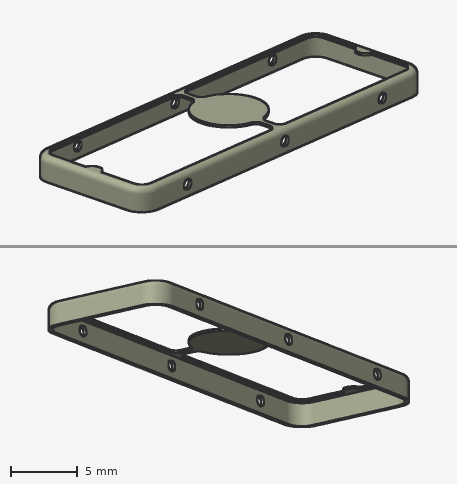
import cadquery as cq

length = 32.0
width = 11.3
height = 2.0
wall = 0.3
lip_reach = 0.4
corner_radius = 1.63
top_edge_radius = 0.5

sheet_thickness = 0.2

disc_diameter = 6.0
arm_width = 0.5
arm_fillet = 0.65

tab_radius = 0.8
tab_reach = 0.6

hole_diameter = 0.83
hole_pitch = 11.0

rim = wall + lip_reach
opening_length = length - 2 * rim
opening_width = width - 2 * rim
flat_rim = rim - top_edge_radius
sheet_bottom = height - sheet_thickness


def rounded_block(inset, block_height):
    """Block inset from the outline of the frame, standing on the XY plane, with rounded corners."""
    block = cq.Workplane("XY").box(
        width - 2 * inset,
        length - 2 * inset,
        block_height,
        centered=(True, True, False),
    )
    return block.edges("|Z").fillet(corner_radius - inset)


def make_frame():
    """Thin wall with a rounded top edge and a shallow lip pointing inwards at the top."""
    outer = rounded_block(0, height).faces(">Z").edges().fillet(top_edge_radius)
    return outer.cut(rounded_block(wall, sheet_bottom)).cut(rounded_block(rim, height))


def make_disc_and_arms():
    """Disc, arms and a strip of each long wall, with the corners between them filleted."""
    plane = cq.Workplane("XY").workplane(offset=sheet_bottom)
    disc = plane.circle(disc_diameter / 2).extrude(sheet_thickness)
    arms = plane.rect(opening_width, arm_width).extrude(sheet_thickness)
    strip_x = (opening_width + flat_rim) / 2
    strips = (
        plane.pushPoints([(-strip_x, 0), (strip_x, 0)])
        .rect(flat_rim, disc_diameter)
        .extrude(sheet_thickness)
    )
    web = disc.union(arms).union(strips)
    corner_zone = cq.selectors.BoxSelector(
        (-width / 2, -arm_width, sheet_bottom),
        (width / 2, arm_width, height),
    )
    return web.edges("|Z").edges(corner_zone).fillet(arm_fillet)


def make_end_tabs():
    """Round tabs, trimmed so that they reach no farther out than the flat rim of the end walls."""
    tab_centre = opening_length / 2 - tab_reach + tab_radius
    plane = cq.Workplane("XY").workplane(offset=sheet_bottom)
    discs = plane.pushPoints([(0, -tab_centre), (0, tab_centre)]).circle(tab_radius).extrude(sheet_thickness)
    return discs.intersect(plane.rect(opening_width, opening_length + 2 * flat_rim).extrude(sheet_thickness))


def cut_cross_holes(body):
    holes = (
        cq.Workplane("YZ")
        .pushPoints([(step * hole_pitch, height / 2) for step in (-1, 0, 1)])
        .circle(hole_diameter / 2)
        .extrude(width, both=True)
    )
    return body.cut(holes)


result = cut_cross_holes(make_frame().union(make_disc_and_arms()).union(make_end_tabs()))